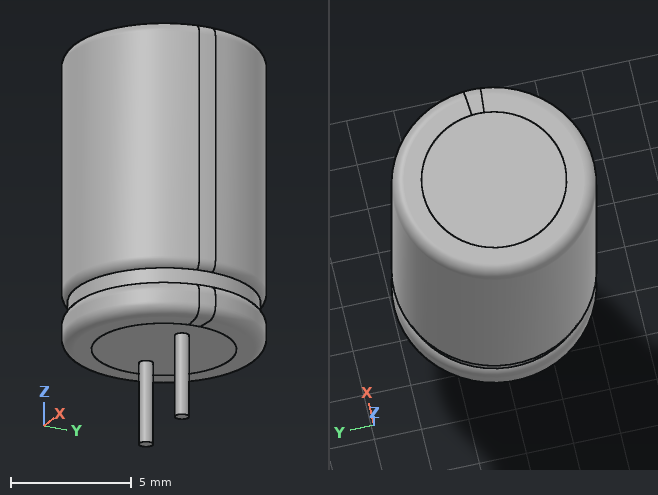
import cadquery as cq
import math

total_height = 16.6
body_height = 13.0
body_radius = 4.25
edge_radius = 0.5

bead_top = 2 * edge_radius
barrel_bottom = 2.5

sleeve_thickness = 0.25
opening_radius = 3.0
stripe_angle = 10.0

lead_diameter = 0.6
lead_pitch = 3.5
lead_length = total_height - body_height


def grooved_envelope():
    """Whole outer shape of the capacitor body, without its leads."""
    groove_radius = body_radius - sleeve_thickness
    arc_center = body_radius - edge_radius
    diagonal = edge_radius * math.sqrt(0.5)
    rim_bottom = edge_radius
    rim_top = body_height - edge_radius

    shoulder_angle = math.acos((groove_radius - arc_center) / edge_radius)
    shoulder_rise = edge_radius * math.sin(shoulder_angle)
    mid_radius = arc_center + edge_radius * math.cos(shoulder_angle / 2)
    mid_rise = edge_radius * math.sin(shoulder_angle / 2)

    return (
        cq.Workplane("XZ")
        .lineTo(arc_center, 0)
        .threePointArc((arc_center + diagonal, rim_bottom - diagonal), (body_radius, rim_bottom))
        .lineTo(body_radius, bead_top)
        .threePointArc((mid_radius, bead_top + mid_rise), (groove_radius, bead_top + shoulder_rise))
        .lineTo(groove_radius, barrel_bottom - shoulder_rise)
        .threePointArc((mid_radius, barrel_bottom - mid_rise), (body_radius, barrel_bottom))
        .lineTo(body_radius, rim_top)
        .threePointArc((arc_center + diagonal, rim_top + diagonal), (arc_center, body_height))
        .lineTo(0, body_height)
        .close()
        .revolve(360, (0, 0, 0), (0, 1, 0))
    )


def make_can():
    """Can that shows as the groove floor and fills the sleeve openings flush at both ends."""
    core = (
        cq.Workplane("XY", origin=(0, 0, sleeve_thickness))
        .circle(body_radius - sleeve_thickness)
        .extrude(body_height - 2 * sleeve_thickness)
        .edges("%CIRCLE")
        .fillet(edge_radius - sleeve_thickness)
    )
    end_faces = cq.Workplane("XY").circle(opening_radius).extrude(body_height)
    return core.union(end_faces)


def stripe_sector():
    """Wedge about the axis that bounds the polarity stripe."""
    reach = 2 * body_radius
    half_width = reach * math.tan(math.radians(stripe_angle / 2))
    corners = [(0, 0), (reach, -half_width), (reach, half_width)]
    return cq.Workplane("XY").polyline(corners).close().extrude(body_height)


def make_lead(x):
    """Round lead hanging from the underside of the can."""
    return cq.Workplane("XY").center(x, 0).circle(lead_diameter / 2).extrude(-lead_length)


can = make_can()
jacket = grooved_envelope().cut(can)

sleeves = jacket.cut(stripe_sector()).solids()
stripes = jacket.intersect(stripe_sector()).solids()
leads = [make_lead(side * lead_pitch / 2) for side in (-1, 1)]

result = cq.Compound.makeCompound(
    [*can.solids().vals(), *sleeves.vals(), *stripes.vals(), *[lead.val() for lead in leads]]
)